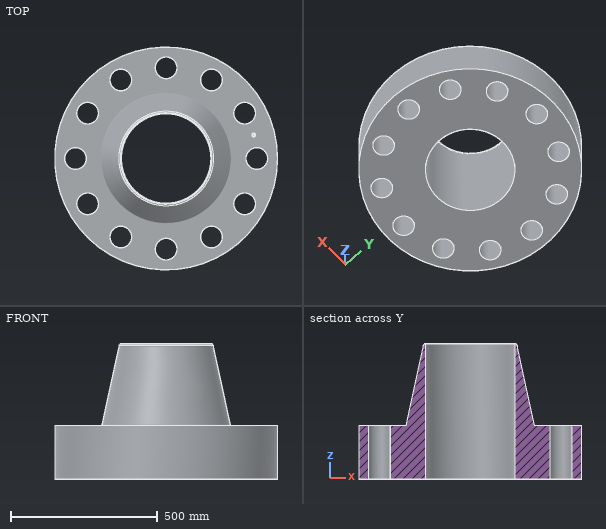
import cadquery as cq
import math

flange_diameter = 762.0
flange_thickness = 184.0

total_height = 464.0
hub_base_diameter = 440.0
base_fillet_radius = 3.0
weld_end_diameter = 324.0
weld_end_height = 12.0
bore_diameter = 305.5
bevel_height = 7.0
bevel_width = 5.0

bolt_count = 12
bolt_circle_diameter = 619.0
bolt_hole_diameter = 73.0

small_hole_diameter = 13.0
small_hole_depth = 23.0
pilot_diameter = 7.0
pilot_depth = 30.5
small_hole_angle = 180.0 / bolt_count


def make_body():
    """Flange disc and hub, revolved about Z from one half section."""
    weld_end_radius = weld_end_diameter / 2
    half_section = (
        cq.Workplane("XZ")
        .moveTo(0, 0)
        .lineTo(flange_diameter / 2, 0)
        .lineTo(flange_diameter / 2, flange_thickness)
        .lineTo(hub_base_diameter / 2, flange_thickness)
        .lineTo(weld_end_radius, total_height - weld_end_height)
        .lineTo(weld_end_radius, total_height - bevel_height)
        .lineTo(weld_end_radius - bevel_width, total_height)
        .lineTo(0, total_height)
        .close()
    )
    return half_section.revolve(360, (0, 0, 0), (0, 1, 0))


def round_hub_base(body):
    """Fillet the corner where the hub meets the top of the flange."""
    margin = 1.0
    half_width = hub_base_diameter / 2 + margin
    base_edge = cq.selectors.BoxSelector(
        (-half_width, -half_width, flange_thickness - margin),
        (half_width, half_width, flange_thickness + margin),
        boundingbox=True,
    )
    return body.edges(base_edge).fillet(base_fillet_radius)


def cut_bore(body):
    bore = cq.Workplane("XY").circle(bore_diameter / 2).extrude(total_height)
    return body.cut(bore)


def cut_bolt_holes(body):
    holes = (
        cq.Workplane("XY")
        .polarArray(bolt_circle_diameter / 2, 0, 360, bolt_count)
        .circle(bolt_hole_diameter / 2)
        .extrude(flange_thickness)
    )
    return body.cut(holes)


def cut_small_hole(body):
    """Cut the blind hole and the narrower pilot that continues below it."""
    angle = math.radians(small_hole_angle)
    center_x = bolt_circle_diameter / 2 * math.cos(angle)
    center_y = bolt_circle_diameter / 2 * math.sin(angle)
    top_of_hole = cq.Workplane("XY", origin=(center_x, center_y, flange_thickness))
    for diameter, depth in (
        (small_hole_diameter, small_hole_depth),
        (pilot_diameter, pilot_depth),
    ):
        body = body.cut(top_of_hole.circle(diameter / 2).extrude(-depth))
    return body


body = round_hub_base(make_body())
body = cut_bore(body)
body = cut_bolt_holes(body)
result = cut_small_hole(body)